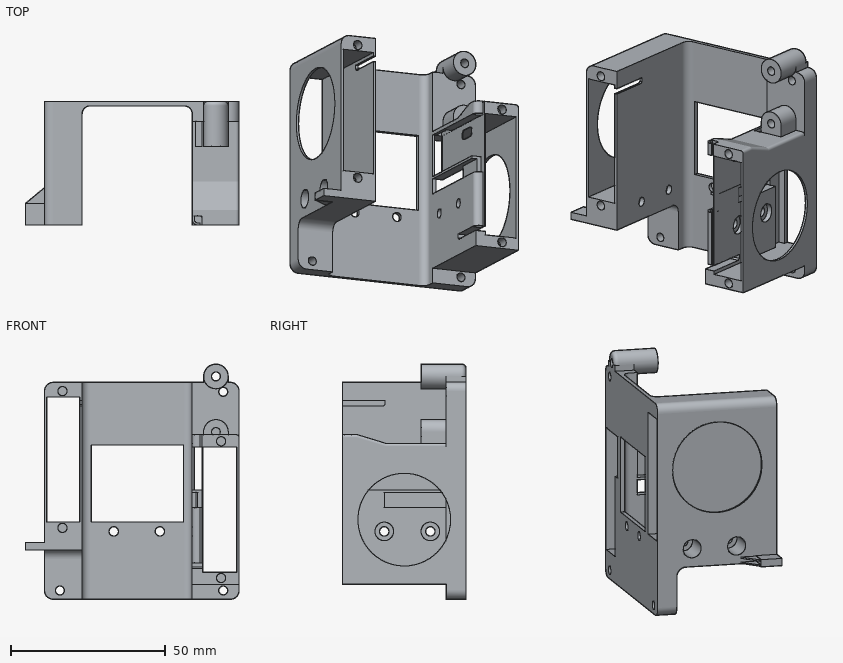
import cadquery as cq
import math

width = 63.0
depth = 40.0
height = 70.25
corner_radius = 3.0

plate_thickness = 1.5
flange_thickness = 6.5
inner_radius = 2.5
plate_front = depth - plate_thickness
flange_front = depth - flange_thickness

left_inner = 12.25
right_inner = 47.8
left_bottom = 16.0
right_bottom = 4.9
right_top = 53.3
right_roof_drop = 2.8
roof_low = right_top - right_roof_drop
roof_slope_front = 4.9
roof_slope_back = 14.1
right_edge_radius = 1.0

pocket_height = 40.4
pocket_wall = 0.8
left_pocket_bottom = 25.0
left_pocket_top = left_pocket_bottom + pocket_height
right_pocket_bottom = 8.8
right_pocket_top = right_pocket_bottom + pocket_height
right_pocket_left = 51.3
pocket_right = width - pocket_wall
fan_hole_diameter = 30.0
fan_hole_offset = 17.0
fan_screw_diameter = 3.0
fan_screw_depth = 4.6
fan_screw_gap = 1.9
left_screw_x = 5.85
right_screw_x = 57.15

slit_height = 1.8
slit_depth = 13.8
slit_gap = 1.15
slit_chamfer = 0.5

window_x = (15.2, 45.0)
window_z = (25.0, 49.9)
bolt_diameter = 3.0
bolt_z = 22.0
plate_bolt_x = (22.45, 37.4)
leg_bolt_y = (13.55, 28.45)
bolt_head_diameter = 6.0
bolt_grip = 1.75

mount_diameter = 2.8
mount_low_z = 2.9
mount_high_z = 67.1
mount_left_x = 5.0
mount_right_x = 57.8

tab_reach = 6.2
tab_bottom = left_bottom
tab_thickness = 2.4
tab_straight = 7.0
tab_length = 12.1
gusset_thickness = 0.45
gusset_inset = 0.15

boss_diameter = 8.0
boss_hole_diameter = 2.8
boss_x = 55.5
boss_front = 25.5
boss_rear_radius = 1.4
overall_height = 76.1
upper_boss_z = overall_height - boss_diameter / 2
boss_spacing = 17.95
lower_boss_z = upper_boss_z - boss_spacing

hook_wall = 0.7
hook_radius = 2.0
hook_tip = 0.5
hook_slot_depth = 3.0
hook_slot_corner = 0.75
thin_wall = 0.3
thin_wall_x = right_pocket_left - thin_wall
hook_slot_x = right_inner + hook_wall
recess_bottom = 35.5
channel_bottom = 29.7
channel_top = 34.6
channel_depth = bolt_grip
channel_wall_end = 13.6
channel_back_x = 49.0
roof_slot_x = 48.85
side_hole_y = (10.3, 17.7)
side_hole_z = (44.2, 47.3)
side_hole_radius = 1.45


def box(x, y, z):
    """Box spanning the given (start, end) pairs."""
    size = (x[1] - x[0], y[1] - y[0], z[1] - z[0])
    return cq.Workplane("XY").box(*size, centered=False).translate((x[0], y[0], z[0]))


def rod_y(x, z, diameter, y_start, y_end):
    """Cylinder along Y."""
    plane = cq.Workplane("XZ", origin=(x, y_start, z))
    return plane.circle(diameter / 2).extrude(y_start - y_end)


def rod_x(y, z, diameter, x_start, x_end):
    """Cylinder along X."""
    plane = cq.Workplane("YZ", origin=(x_start, y, z))
    return plane.circle(diameter / 2).extrude(x_end - x_start)


def make_body():
    """Full-height back with flanges and inner radii, plus the two legs."""
    back = box((0, width), (flange_front, depth), (0, height))
    gap = box((left_inner, right_inner), (0, plate_front), (0, height))
    gap = gap.edges("|Z and >Y").fillet(inner_radius)
    left = box((0, left_inner), (0, depth), (0, height))
    under_left = box((0, left_inner), (0, flange_front), (0, left_bottom))
    under_left = under_left.edges("|X and >Y and >Z").fillet(corner_radius)
    body = back.union(left).cut(gap)
    body = body.edges("|Y and (<X or >X)").fillet(corner_radius)
    return body.cut(under_left).union(make_right_leg())


def make_right_leg():
    """Right leg whose roof steps down towards the back along a slope."""
    profile = [
        (0, right_bottom),
        (flange_front, right_bottom),
        (flange_front, roof_low),
        (roof_slope_back, roof_low),
        (roof_slope_front, right_top),
        (0, right_top),
    ]
    leg = cq.Workplane("YZ", origin=(right_inner, 0, 0)).polyline(profile).close()
    leg = leg.extrude(width - right_inner)
    roof_edges = leg.faces(">X").edges("not (|Z or <Z)")
    return roof_edges.fillet(right_edge_radius)


def make_tab():
    """Side tab backed by two thin triangular gussets with an open space between them."""
    tab = box((-tab_reach, pocket_wall), (0, tab_straight), (tab_bottom, tab_bottom + tab_thickness))
    outline = [
        (-tab_reach, tab_straight),
        (pocket_wall, tab_straight),
        (pocket_wall, tab_length),
        (0, tab_length),
    ]
    upper_gusset = tab_thickness - gusset_inset - gusset_thickness
    for offset in (gusset_inset, upper_gusset):
        gusset = cq.Workplane("XY", origin=(0, 0, tab_bottom + offset)).polyline(outline).close()
        tab = tab.union(gusset.extrude(gusset_thickness))
    return tab


def make_bosses():
    """Upper boss standing over the top edge and lower boss on the right roof."""
    radius = boss_diameter / 2
    sides = (boss_x - radius, boss_x + radius)
    upper = rod_y(boss_x, upper_boss_z, boss_diameter, boss_front, depth)
    upper = upper.faces(">Y").edges().fillet(boss_rear_radius)
    web = box(sides, (flange_front, depth), (height - corner_radius, upper_boss_z))
    lower = rod_y(boss_x, lower_boss_z, boss_diameter, boss_front, flange_front)
    foot = box(sides, (boss_front, flange_front), (right_pocket_top, lower_boss_z))
    return upper.union(web).union(lower.union(foot))


def make_boss_holes():
    """Hole through the upper boss, and one in the lower boss that stops at the flange."""
    upper = rod_y(boss_x, upper_boss_z, boss_hole_diameter, boss_front, depth)
    lower = rod_y(boss_x, lower_boss_z, boss_hole_diameter, boss_front, flange_front)
    return upper.union(lower)


def make_slit(x, bottom):
    """Wire slit from the front, with a sloped lower edge at its blind end."""
    slit = box(x, (0, slit_depth), (bottom, bottom + slit_height))
    return slit.edges("|X and >Y and <Z").chamfer(slit_chamfer)


def make_fan_pockets():
    """Fan pockets with their round air openings, screw holes and wire slits."""
    left = box((pocket_wall, left_inner - pocket_wall), (0, depth), (left_pocket_bottom, left_pocket_top))
    right = box((right_pocket_left, pocket_right), (0, depth), (right_pocket_bottom, right_pocket_top))
    left_air_z = left_pocket_top - fan_hole_offset
    right_air_z = right_pocket_bottom + fan_hole_offset
    left_air = rod_x(depth / 2, left_air_z, fan_hole_diameter, 0, pocket_wall)
    right_air = rod_x(depth / 2, right_air_z, fan_hole_diameter, pocket_right, width)
    left_slit_bottom = left_pocket_top - slit_gap - slit_height
    left_slit = make_slit((left_inner - pocket_wall, left_inner), left_slit_bottom)
    right_slit = make_slit((right_inner, right_pocket_left), right_pocket_bottom + slit_gap)
    cuts = left.union(right).union(left_air).union(right_air).union(left_slit).union(right_slit)
    for x, bottom, top in (
        (left_screw_x, left_pocket_bottom, left_pocket_top),
        (right_screw_x, right_pocket_bottom, right_pocket_top),
    ):
        for z in (bottom - fan_screw_gap, top + fan_screw_gap):
            cuts = cuts.union(rod_y(x, z, fan_screw_diameter, 0, fan_screw_depth))
    return cuts


def make_plate_openings():
    """Window, bolt holes and corner mounting holes through the back."""
    cuts = box(window_x, (flange_front, depth), window_z)
    for x in plate_bolt_x:
        cuts = cuts.union(rod_y(x, bolt_z, bolt_diameter, flange_front, depth))
    for x, z in (
        (mount_left_x, mount_low_z),
        (mount_right_x, mount_low_z),
        (mount_right_x, mount_high_z),
    ):
        cuts = cuts.union(rod_y(x, z, mount_diameter, boss_front, depth))
    return cuts


def make_leg_bolts():
    """Bolt holes across the inner walls, with head bores starting behind the bolt grip."""
    cuts = cq.Workplane("XY")
    for y in leg_bolt_y:
        cuts = cuts.add(rod_x(y, bolt_z, bolt_diameter, 0, left_inner))
        cuts = cuts.add(rod_x(y, bolt_z, bolt_head_diameter, 0, left_inner - bolt_grip))
        cuts = cuts.add(rod_x(y, bolt_z, bolt_diameter, right_inner, right_pocket_left))
        cuts = cuts.add(rod_x(y, bolt_z, bolt_head_diameter, right_inner + bolt_grip, right_pocket_left))
    return cuts.combine()


def make_hook_cut():
    """Front slot beside the thin wall, leaving a curled hook along the inner edge."""
    z_range = (right_pocket_bottom + slit_gap + slit_height, right_top)
    slot = box((right_inner, thin_wall_x), (0, hook_slot_depth), z_range)
    slot = slot.edges("|Z and >Y and >X").fillet(hook_slot_corner)
    centre_x = right_inner + hook_radius
    bend = hook_radius - hook_wall
    mid = math.cos(math.radians(45))
    hook = (
        cq.Workplane("XY", origin=(0, 0, z_range[0]))
        .moveTo(right_inner, hook_slot_depth)
        .lineTo(right_inner, hook_radius)
        .threePointArc(
            (centre_x - hook_radius * mid, hook_radius - hook_radius * mid),
            (centre_x, 0),
        )
        .lineTo(centre_x + hook_tip, 0)
        .lineTo(centre_x + hook_tip, hook_wall)
        .lineTo(centre_x, hook_wall)
        .threePointArc(
            (centre_x - bend * mid, hook_radius - bend * mid),
            (hook_slot_x, hook_radius),
        )
        .lineTo(hook_slot_x, hook_slot_depth)
        .close()
        .extrude(z_range[1] - z_range[0])
    )
    return slot.cut(hook)


def make_wire_channels():
    """Open side recess, wire channel, pocket flare, roof slot and side hole of the right leg."""
    recess_z = (recess_bottom, right_pocket_top)
    channel_z = (channel_bottom, channel_top)
    recess = box((right_inner, thin_wall_x), (0, flange_front), recess_z)
    recess_exit = box((hook_slot_x, right_pocket_left), (flange_front, depth), recess_z)
    front_gap = box((right_inner, thin_wall_x), (0, hook_slot_depth), (channel_bottom, recess_bottom))
    channel = box((right_inner, right_inner + channel_depth), (0, flange_front), channel_z)
    channel_window = box((right_inner, right_pocket_left), (channel_wall_end, flange_front), channel_z)
    pocket_flare = box(
        (channel_back_x, right_pocket_left),
        (flange_front, plate_front),
        (right_pocket_bottom, right_pocket_top),
    )
    roof_slot = box((roof_slot_x, thin_wall_x), (boss_front, flange_front), (right_pocket_top, roof_low))
    side_hole = box((thin_wall_x, right_pocket_left), side_hole_y, side_hole_z)
    side_hole = side_hole.edges("|X").fillet(side_hole_radius)
    cuts = recess.union(recess_exit).union(front_gap).union(channel).union(channel_window)
    return cuts.union(pocket_flare).union(roof_slot).union(side_hole)


result = make_body().union(make_tab()).union(make_bosses())
for cutter in (
    make_boss_holes(),
    make_fan_pockets(),
    make_plate_openings(),
    make_leg_bolts(),
    make_hook_cut(),
    make_wire_channels(),
):
    result = result.cut(cutter)